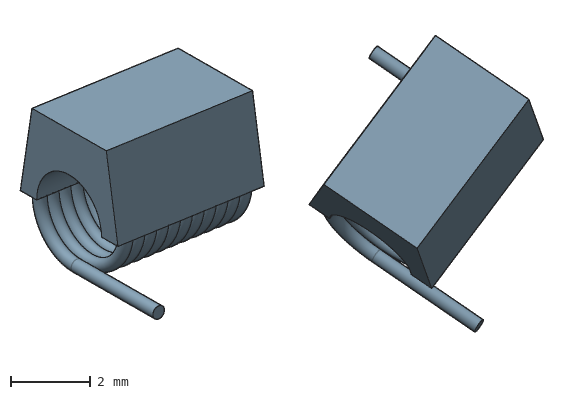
import cadquery as cq
import math

wire_diameter = 0.38
bore_diameter = 2.52
turn_pitch = 0.392
turn_count = 11
lead_length = 3.18

cap_length = 4.83
cap_base_width = 3.80
side_draft = 10.0
overall_height = 4.20

wire_radius = wire_diameter / 2
bore_radius = bore_diameter / 2
bend_radius = bore_radius + wire_radius
axis_height = bend_radius + wire_radius
cap_height = overall_height - axis_height
cap_top_width = cap_base_width - 2 * cap_height * math.tan(math.radians(side_draft))
quarter_turn = 90
half_turn = 180


def make_cap():
    """Tapered block along Y with a half-round channel matching the coil bore."""
    return (
        cq.Workplane("XZ", origin=(0, cap_length / 2, axis_height))
        .moveTo(-cap_base_width / 2, 0)
        .lineTo(-cap_top_width / 2, cap_height)
        .lineTo(cap_top_width / 2, cap_height)
        .lineTo(cap_base_width / 2, 0)
        .lineTo(bore_radius, 0)
        .threePointArc((0, bore_radius), (-bore_radius, 0))
        .close()
        .extrude(cap_length)
    )


def make_bend(y, side, angle):
    """Ring section of wire from the cap on the +X (1) or -X (-1) side, passing below the coil axis."""
    return (
        cq.Workplane("XY", origin=(0, y, axis_height))
        .center(side * bend_radius, 0)
        .circle(wire_radius)
        .revolve(angle, (-side * bend_radius, 0), (-side * bend_radius, side))
    )


def make_lead(y, side):
    """Straight wire end that leaves the coil bottom along X, toward the given side."""
    return (
        cq.Workplane("YZ", origin=(0, y, wire_radius))
        .circle(wire_radius)
        .extrude(side * lead_length)
    )


def make_coil_parts():
    """Wire pieces below the cap; each turn steps to the next one inside the cap."""
    first_y = -turn_count * turn_pitch / 2
    last_y = -first_y
    parts = [
        make_lead(first_y, 1).union(make_bend(first_y, -1, quarter_turn)),
        make_lead(last_y, -1).union(make_bend(last_y, 1, quarter_turn)),
    ]
    for turn in range(1, turn_count):
        parts.append(make_bend(first_y + turn * turn_pitch, 1, half_turn))
    return parts


result = make_cap()
for wire in make_coil_parts():
    result = result.union(wire)